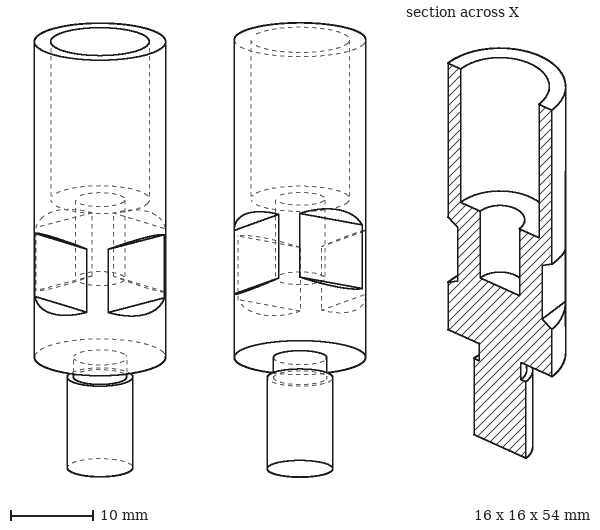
import cadquery as cq
import math

stud_diameter = 8.0
stud_length = 11.5
neck_diameter = 6.5
neck_length = 2.5

body_diameter = 16.0
body_length = 40.0
body_bottom = stud_length + neck_length
body_top = body_bottom + body_length

across_flats = 13.0
flat_height = 8.0
collar_length = 8.0
flat_bottom = body_bottom + collar_length
flat_count = 4
runout_angle = 30.0
cutter_clearance = 1.0

bore_diameter = 12.0
bore_depth = 20.0
pilot_diameter = 6.0
pilot_depth = 10.0


def cylinder(diameter, bottom, height):
    """Cylinder on the Z axis, standing on the given level."""
    return cq.Workplane("XY").workplane(offset=bottom).circle(diameter / 2).extrude(height)


def turned_blank():
    """Stud, neck and body stacked from the bottom up."""
    stud = cylinder(stud_diameter, 0, stud_length)
    neck = cylinder(neck_diameter, stud_length, neck_length)
    body = cylinder(body_diameter, body_bottom, body_length)
    return stud.union(neck).union(body)


def flat_cutter():
    """Trapezoidal prism that cuts one wrench flat on the +X side."""
    inner = across_flats / 2
    outer = body_diameter / 2 + cutter_clearance
    runout = (outer - inner) * math.tan(math.radians(runout_angle))
    flat_top = flat_bottom + flat_height
    profile = [
        (inner, flat_bottom),
        (outer, flat_bottom - runout),
        (outer, flat_top + runout),
        (inner, flat_top),
    ]
    return cq.Workplane("XZ").polyline(profile).close().extrude(body_diameter / 2, both=True)


def cut_flats(part):
    """Cut the wrench flats, evenly spaced around the Z axis."""
    cutter = flat_cutter()
    for index in range(flat_count):
        part = part.cut(cutter.rotate((0, 0, 0), (0, 0, 1), index * 360 / flat_count))
    return part


def cut_bore(part):
    """Cut the wide bore and the narrower pilot hole in its floor."""
    bore_floor = body_top - bore_depth
    bore = cylinder(bore_diameter, bore_floor, bore_depth)
    pilot = cylinder(pilot_diameter, bore_floor - pilot_depth, pilot_depth)
    return part.cut(bore).cut(pilot)


result = cut_bore(cut_flats(turned_blank()))